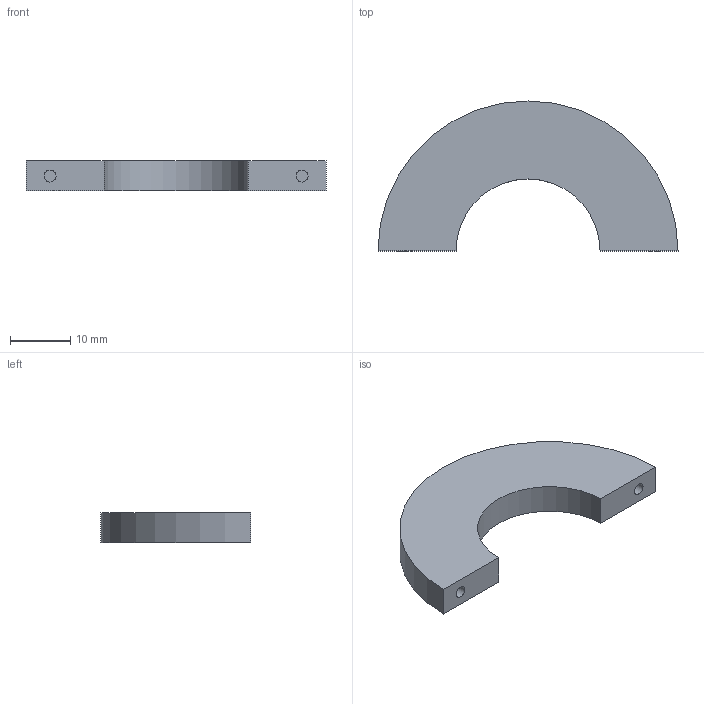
import cadquery as cq

outer_radius = 25.0
inner_radius = 12.0
thickness = 5.0

pin_hole_diameter = 2.0
pin_hole_depth = 5.0
pin_hole_offset = 21.0


def half_ring():
    """Half ring on the +Y side, centred on the Z axis and standing on Z = 0."""
    return (
        cq.Workplane("XY")
        .moveTo(-outer_radius, 0)
        .threePointArc((0, outer_radius), (outer_radius, 0))
        .lineTo(inner_radius, 0)
        .threePointArc((0, inner_radius), (-inner_radius, 0))
        .close()
        .extrude(thickness)
    )


def pin_holes():
    """Cylinders running from the end faces (Y = 0) into the ring along +Y."""
    return (
        cq.Workplane("XZ")
        .pushPoints([(side * pin_hole_offset, thickness / 2) for side in (-1, 1)])
        .circle(pin_hole_diameter / 2)
        .extrude(-pin_hole_depth)
    )


result = half_ring().cut(pin_holes())